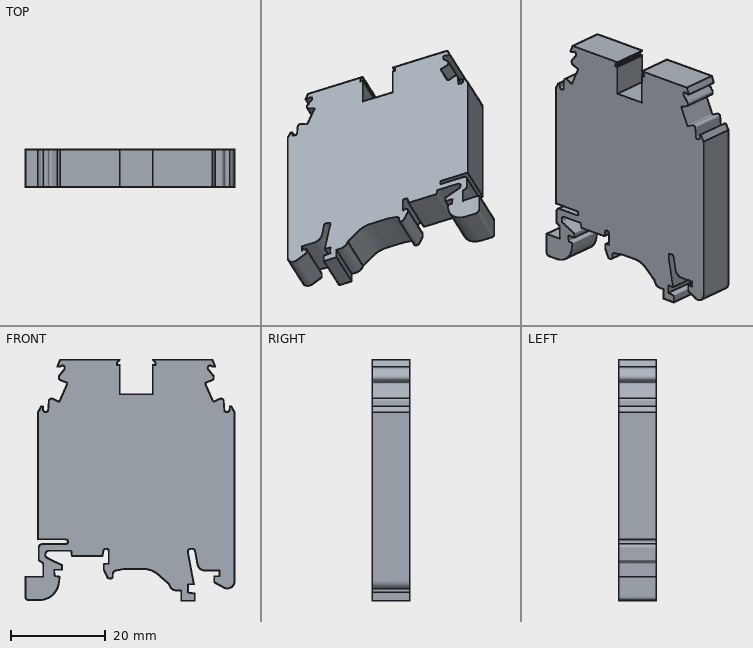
import cadquery as cq
import math


thickness = 8.0
height = 51.0
overall_length = 44.25
body_length = 41.6
half_body = body_length / 2
foot_tip_x = half_body - overall_length

slot_half_width = 3.45
slot_depth = 7.3
undercut = 0.6
undercut_start = 0.65
undercut_end = 1.1

body_floor_z = 13.0
gap_width = 0.95
gap_end_x = -14.45
gap_floor_z = body_floor_z - gap_width

foot_sole_z = 0.16
foot_top_z = 5.15
foot_toe_x = -16.15
toe_slant = 0.7
heel_radius = 4.2
neck_x = -19.7
spur_tip_x = -15.65
spur_floor_z = 6.6
arm_inner_x = -19.2
arm_x = -20.65
arm_ceiling_z = 10.6

pad_z = 9.5
relief_top_z = 11.0
arch_z = 6.74

stop_left_x = 9.5
stop_right_x = 12.4
stop_inner_x = 10.93
stop_shoulder_z = 2.2
stop_barb_z = 3.5
leg_ceiling_z = 6.4
leg_tip_x = 16.45
leg_tip_z = 5.25
leg_recess_x = 17.55


def shoulder():
    """Corners (x, z, radius) of the -X upper edge, from the body side up to the top face."""
    lip_top_z = 41.1
    lip_inner_x = -19.7
    groove_floor_z = 39.95
    hook_groove_x = -15.12
    hook_floor_z = 49.5
    return [
        (-half_body, 39.85, 0),
        (-20.1, lip_top_z, 0.15),
        (lip_inner_x, lip_top_z, 0.1),
        (lip_inner_x, groove_floor_z, 0.5),
        (-18.65, groove_floor_z, 0.5),
        (-18.45, 43.1, 0.6),
        (-16.28, 42.1, 0.2),
        (-14.53, 46.05, 0.15),
        (-16.85, 46.95, 0.7),
        (hook_groove_x, 49.05, 0.2),
        (hook_groove_x, 50.1, 0.45),
        (-16.1, hook_floor_z, 0.15),
        (-16.72, hook_floor_z, 0.1),
        (-16.1, height, 0),
    ]


def slot_side():
    """Corners of the -X wall of the slot, from the top face to the slot floor."""
    return [
        (-slot_half_width, height, 0),
        (-slot_half_width - undercut, height - undercut_start, 0),
        (-slot_half_width - undercut, height - undercut_end, 0),
        (-slot_half_width, height - undercut_end, 0),
        (-slot_half_width, height - slot_depth, 0),
    ]


def outer_leg():
    """Corners of the +X leg that hooks under the rail, from the body side inwards."""
    return [
        (half_body, 2.5, 1.6),
        (18.8, 2.65, 0.3),
        (leg_tip_x, 3.95, 0.1),
        (leg_tip_x, leg_tip_z, 0.1),
        (leg_recess_x, leg_tip_z, 0),
        (leg_recess_x, leg_ceiling_z, 0),
        (13.15, leg_ceiling_z, 1.7),
        (12.32, relief_top_z, 0.55),
    ]


def rail_stop():
    """Corners of the tapered stop beside the arch, from its relief slot to its shoulder."""
    return [
        (10.86, relief_top_z, 0.55),
        (11.0, 9.9, 0.5),
        (12.2, stop_barb_z, 0),
        (stop_inner_x, stop_barb_z, 0),
        (stop_inner_x, 1.8, 0),
        (stop_right_x, 1.6, 0.1),
        (stop_right_x, 0, 0),
        (stop_left_x, 0, 0),
        (stop_left_x, stop_shoulder_z, 0),
    ]


def arch_and_hook():
    """Corners of the arch over the rail and the small hook at its -X end."""
    hook_tip_z = 4.73
    hook_top_z = 7.87
    hook_outer_x = -6.92
    hook_inner_x = -4.95
    relief_right_x = -5.85
    return [
        (7.5, stop_shoulder_z, 1.5),
        (6.9, 3.56, 0),
        (3.3, arch_z, 4.6),
        (-2.6, arch_z, 4.0),
        (hook_inner_x, 6.3, 0.8),
        (hook_inner_x, hook_tip_z, 0.45),
        (-6.0, hook_tip_z, 0.6),
        (hook_outer_x, 6.7, 0.3),
        (hook_outer_x, hook_top_z, 0.3),
        (relief_right_x, hook_top_z, 0),
        (relief_right_x, relief_top_z, 0.4),
        (-6.85, relief_top_z, 0.45),
        (-7.15, pad_z, 0),
        (-13.65, pad_z, 0.2),
        (-13.75, arm_ceiling_z, 0.15),
    ]


def spring_foot():
    """Corners of the foot and its arm, from the arm's underside round to the latch gap."""
    return [
        (arm_inner_x, arm_ceiling_z, 0.8),
        (arm_inner_x, 9.3, 0.7),
        (spur_tip_x, 7.57, 0.3),
        (spur_tip_x, spur_floor_z, 0),
        (-17.35, spur_floor_z, 0.15),
        (-17.2, 5.3, 0.1),
        (foot_toe_x, 5.15, 0.2),
        (foot_toe_x - toe_slant, foot_sole_z, heel_radius),
        (foot_tip_x, foot_sole_z, 0.75),
        (foot_tip_x, foot_top_z, 0),
        (neck_x, foot_top_z, 0),
        (neck_x, 8.0, 0.3),
        (arm_x, 8.6, 0.1),
        (arm_x, gap_floor_z, 0.85),
        (gap_end_x, gap_floor_z, gap_width / 2),
        (gap_end_x, body_floor_z, gap_width / 2),
        (-half_body, body_floor_z, 0),
    ]


def mirrored(corners):
    """The same corners on the +X side, in reverse order so the outline keeps running on."""
    return [(-x, z, radius) for x, z, radius in reversed(corners)]


def corner_arc(before, corner, after):
    """Start, middle and end of the arc that rounds a corner tangentially."""
    x, z, radius = corner
    in_angle = math.atan2(before[1] - z, before[0] - x)
    out_angle = math.atan2(after[1] - z, after[0] - x)
    half_angle = math.remainder(out_angle - in_angle, 2 * math.pi) / 2
    bisector = in_angle + half_angle
    tangent_length = radius / math.tan(abs(half_angle))
    middle_distance = radius / math.sin(abs(half_angle)) - radius

    def from_corner(angle, distance):
        return (x + distance * math.cos(angle), z + distance * math.sin(angle))

    return (
        from_corner(in_angle, tangent_length),
        from_corner(bisector, middle_distance),
        from_corner(out_angle, tangent_length),
    )


def rounded_outline(corners):
    """Closed XZ outline through the corners; the first corner must be sharp."""
    min_line_length = 1e-6
    pen = corners[0][:2]
    outline = cq.Workplane("XZ").moveTo(*pen)
    following = corners[2:] + corners[:1]
    for before, corner, after in zip(corners, corners[1:], following):
        if corner[2] == 0:
            pen = corner[:2]
            outline = outline.lineTo(*pen)
        else:
            start, middle, end = corner_arc(before, corner, after)
            if math.dist(start, pen) > min_line_length:
                outline = outline.lineTo(*start)
            outline = outline.threePointArc(middle, end)
            pen = end
    return outline.close()


upper_left = shoulder() + slot_side()
lower_edge = outer_leg() + rail_stop() + arch_and_hook() + spring_foot()
housing_corners = upper_left + mirrored(upper_left) + lower_edge

result = rounded_outline(housing_corners).extrude(thickness / 2, both=True)